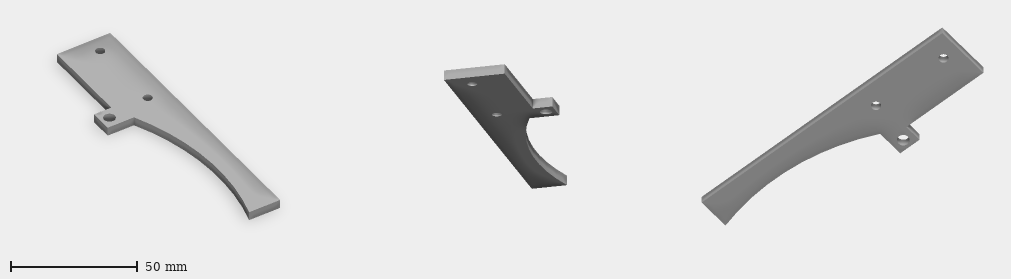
import cadquery as cq

length = 125.0
plate_width = 25.0
thickness = 4.0

tab_left = 40.0
tab_width = 10.0
tab_depth = 8.0
tab_right = tab_left + tab_width

arc_start_depth = 20.8
arc_middle_x = 93.8
arc_middle_depth = 10.2
tip_depth = 14.5

plate_hole_diameter = 4.0
plate_hole_depth = 9.5
plate_hole_xs = (7.5, 42.5)
tab_hole_diameter = 5.0
tab_hole_x = tab_left + tab_width / 2
tab_hole_depth = plate_width + tab_depth / 2


def make_plate():
    """Extrude the outline; the back edge lies on y = 0."""
    return (
        cq.Workplane("XY")
        .moveTo(0, 0)
        .lineTo(0, -plate_width)
        .lineTo(tab_left, -plate_width)
        .lineTo(tab_left, -plate_width - tab_depth)
        .lineTo(tab_right, -plate_width - tab_depth)
        .lineTo(tab_right, -arc_start_depth)
        .threePointArc((arc_middle_x, -arc_middle_depth), (length, -tip_depth))
        .lineTo(length, 0)
        .close()
        .extrude(thickness)
    )


def make_hole_cutters(centers, diameter):
    """Cylinders that pass through the full thickness."""
    return cq.Workplane("XY").pushPoints(centers).circle(diameter / 2).extrude(thickness)


plate_hole_centers = [(x, -plate_hole_depth) for x in plate_hole_xs]
tab_hole_centers = [(tab_hole_x, -tab_hole_depth)]

result = (
    make_plate()
    .cut(make_hole_cutters(plate_hole_centers, plate_hole_diameter))
    .cut(make_hole_cutters(tab_hole_centers, tab_hole_diameter))
)